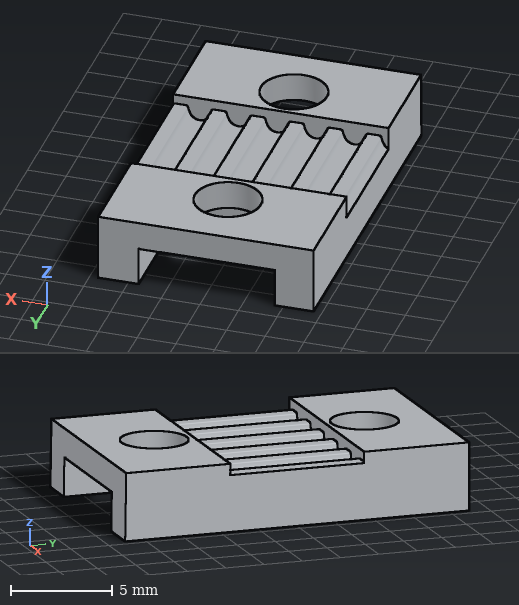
import cadquery as cq
import math

width = 11.15
length = 18.0
height = 3.5
front_lean = 0.05
back_y = length / 2
front_bottom_y = -length / 2
front_top_y = front_bottom_y + front_lean
hole_x = -width / 2 + 5.5

pocket_width = 7.02
pocket_height = 2.02
pocket_left = -width / 2 + 2.02
block_length = 4.0

hole_diameter = 3.4
hole_spacing = 11.0

seat_length = 7.0
land_depth = 0.5
pitch = 2.0
groove_count = 7
first_groove_x = -width / 2 - 0.23
groove_width = 1.5
tip_half_width = 0.6
tip_depth = 0.13
flank_half_width = 0.49
flank_depth = 0.43
groove_depth = 0.74
tip_radius = 0.15
flank_radius = 1.0


def box(x_min, x_max, y_min, y_max, z_min, z_max):
    size = (x_max - x_min, y_max - y_min, z_max - z_min)
    return cq.Workplane().box(*size, centered=False).translate((x_min, y_min, z_min))


def bulge_point(start, end, radius):
    """Middle of an arc lying to the left of the line from start to end."""
    dx = end[0] - start[0]
    dz = end[1] - start[1]
    chord = math.hypot(dx, dz)
    sagitta = radius - math.sqrt(radius**2 - chord**2 / 4)
    mid_x = (start[0] + end[0]) / 2
    mid_z = (start[1] + end[1]) / 2
    return mid_x - dz / chord * sagitta, mid_z + dx / chord * sagitta


def groove(x):
    """Cutter for one belt tooth groove with rounded land edges, curved flanks and a round floor."""
    land_z = height - land_depth

    def mirror(point):
        return 2 * x - point[0], point[1]

    edge = (x + groove_width / 2, land_z)
    tip = (x + tip_half_width, land_z - tip_depth)
    flank = (x + flank_half_width, land_z - flank_depth)
    floor = (x, land_z - groove_depth)
    tip_mid = bulge_point(tip, edge, tip_radius)
    flank_mid = bulge_point(tip, flank, flank_radius)
    return (
        cq.Workplane("XZ", origin=(0, seat_length / 2, 0))
        .moveTo(*edge)
        .threePointArc(tip_mid, tip)
        .threePointArc(flank_mid, flank)
        .threePointArc(floor, mirror(flank))
        .threePointArc(mirror(flank_mid), mirror(tip))
        .threePointArc(mirror(tip_mid), mirror(edge))
        .lineTo(2 * x - edge[0], height)
        .lineTo(edge[0], height)
        .close()
        .extrude(seat_length)
    )


side_outline = [(front_bottom_y, 0), (back_y, 0), (back_y, height), (front_top_y, height)]
body = (
    cq.Workplane("YZ", origin=(-width / 2, 0, 0))
    .polyline(side_outline)
    .close()
    .extrude(width)
)

pocket_right = pocket_left + pocket_width
block_edge = block_length / 2
body = body.cut(box(pocket_left, pocket_right, front_bottom_y, -block_edge, 0, pocket_height))
body = body.cut(box(pocket_left, pocket_right, block_edge, back_y, 0, pocket_height))

body = body.cut(
    box(-width / 2, width / 2, -seat_length / 2, seat_length / 2, height - land_depth, height)
)
for index in range(groove_count):
    body = body.cut(groove(first_groove_x + index * pitch))

for side in (-1, 1):
    hole = cq.Workplane().center(hole_x, side * hole_spacing / 2).circle(hole_diameter / 2)
    body = body.cut(hole.extrude(height))

result = body